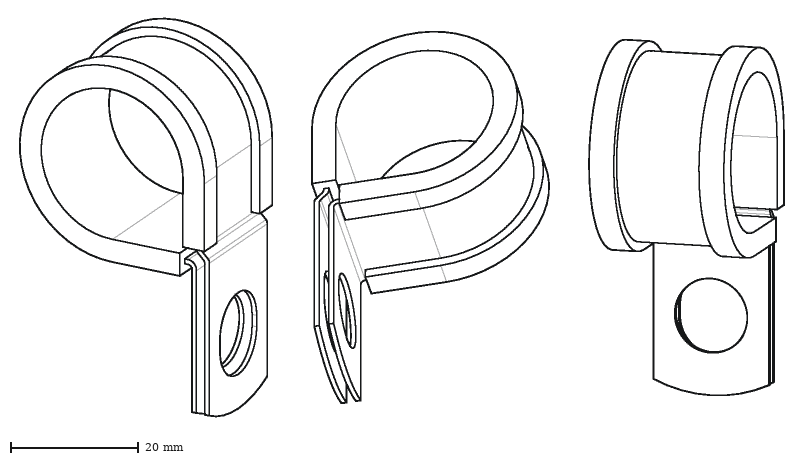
import cadquery as cq
import math

overall_height = 58.6
loop_diameter = 33.1
loop_radius = loop_diameter / 2
cushion_thickness = 3.85
cushion_width = 22.1
groove_width = 13.95
groove_depth = 1.5
side_leg_end = -11.55
bottom_leg_end = 12.15

strap_width = 18.9
strap_thickness = 0.8
strap_radius = loop_radius - groove_depth
bend_inner_radius = 0.7
jog_start = -12.15
jog_corner_radius = 0.9
inner_tab_face = 14.25

tab_end = loop_radius - overall_height
tab_end_sagitta = 2.1
hole_diameter = 11.9
outer_slot_length = 13.85
hole_z = -29.3


def extrude_centered(sketch, width):
    """Extrude an XZ outline along Y, symmetric about the XZ plane."""
    return sketch.extrude(width / 2, both=True)


def loop_band(outer, thickness, width):
    """Three-quarter loop with a straight leg at each end."""
    inner = outer - thickness
    diagonal = math.sqrt(0.5)
    outline = (
        cq.Workplane("XZ")
        .moveTo(outer, side_leg_end)
        .lineTo(outer, 0)
        .threePointArc((-outer * diagonal, outer * diagonal), (0, -outer))
        .lineTo(bottom_leg_end, -outer)
        .lineTo(bottom_leg_end, -inner)
        .lineTo(0, -inner)
        .threePointArc((-inner * diagonal, inner * diagonal), (inner, 0))
        .lineTo(inner, side_leg_end)
        .close()
    )
    return extrude_centered(outline, width)


def inner_tab():
    """Tab bent down from the end of the horizontal leg."""
    outer_bend = bend_inner_radius + strap_thickness
    back_face = inner_tab_face - strap_thickness
    outline = (
        cq.Workplane("XZ")
        .moveTo(bottom_leg_end, -strap_radius)
        .lineTo(bottom_leg_end, -strap_radius + strap_thickness)
        .lineTo(inner_tab_face - outer_bend, -strap_radius + strap_thickness)
        .radiusArc((inner_tab_face, -strap_radius - bend_inner_radius), outer_bend)
        .lineTo(inner_tab_face, tab_end)
        .lineTo(back_face, tab_end)
        .lineTo(back_face, -strap_radius - bend_inner_radius)
        .radiusArc((back_face - bend_inner_radius, -strap_radius), -bend_inner_radius)
        .close()
    )
    return extrude_centered(outline, strap_width)


def outer_tab():
    """Tab stepped outward at 45 degrees from the vertical leg."""
    jog_angle = 45
    jog_end = jog_start - groove_depth / math.tan(math.radians(jog_angle))
    mitre = strap_thickness * math.tan(math.radians(jog_angle / 2))
    outline = (
        cq.Workplane("XZ")
        .moveTo(strap_radius, side_leg_end)
        .lineTo(strap_radius, jog_start)
        .lineTo(loop_radius, jog_end)
        .lineTo(loop_radius, tab_end)
        .lineTo(loop_radius - strap_thickness, tab_end)
        .lineTo(loop_radius - strap_thickness, jog_end - mitre)
        .lineTo(strap_radius - strap_thickness, jog_start - mitre)
        .lineTo(strap_radius - strap_thickness, side_leg_end)
        .close()
    )
    tab = extrude_centered(outline, strap_width)
    jog_box = cq.selectors.BoxSelector(
        (0, -0.6, jog_end - 2 * mitre),
        (2 * loop_radius, 0.6, jog_start + mitre),
    )
    return tab.edges("|Y").edges(jog_box).fillet(jog_corner_radius)


def tab_envelope():
    """Strap-wide block along X with the rounded tab end and the bolt hole."""
    half_width = strap_width / 2
    shoulder = tab_end + tab_end_sagitta
    return (
        cq.Workplane("YZ")
        .moveTo(-half_width, 0)
        .lineTo(-half_width, shoulder)
        .threePointArc((0, tab_end), (half_width, shoulder))
        .lineTo(half_width, 0)
        .close()
        .moveTo(0, hole_z)
        .circle(hole_diameter / 2)
        .extrude(2 * loop_radius)
    )


outer_slot = (
    cq.Workplane("YZ", origin=(inner_tab_face, 0, hole_z))
    .slot2D(outer_slot_length, hole_diameter, 90)
    .extrude(loop_radius - inner_tab_face)
)
tabs = inner_tab().union(outer_tab().cut(outer_slot)).intersect(tab_envelope())

rims = loop_band(loop_radius, cushion_thickness, cushion_width)
groove = loop_band(loop_radius, groove_depth, groove_width)

result = rims.cut(groove).union(tabs)